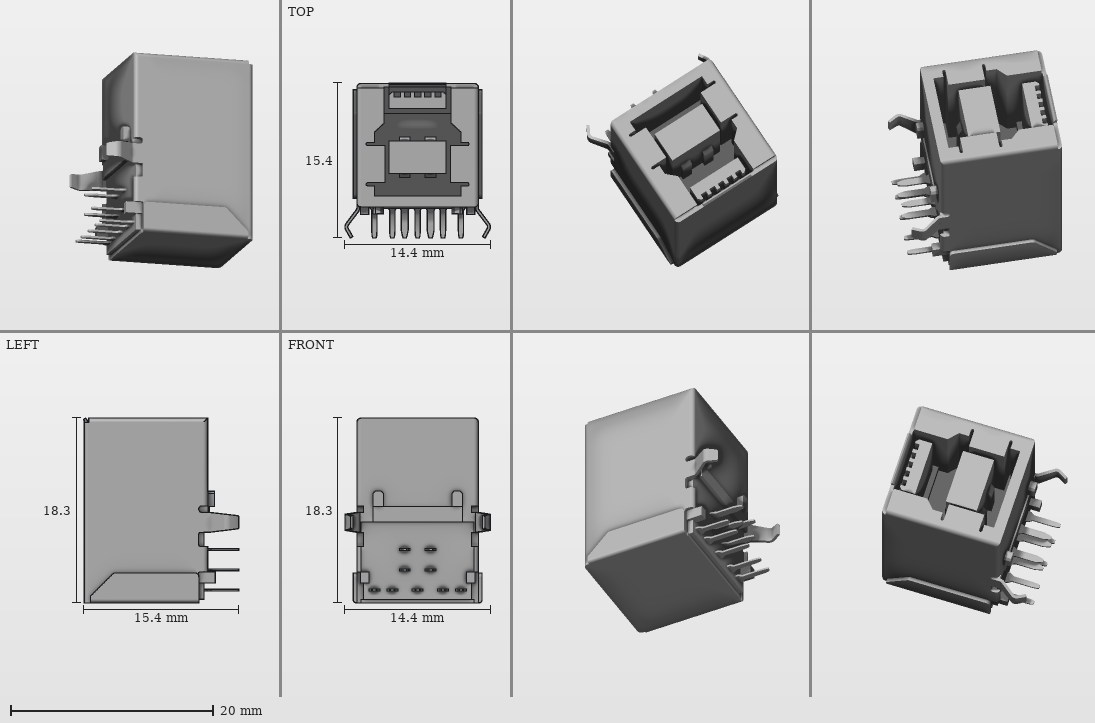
import cadquery as cq


height = 18.3
half_width = 6.02
back = 12.25
bend_radius = 0.44
sheet = 0.37
back_plate_front = back - 0.45
back_plate_top = height - bend_radius
front_panel_bottom = 8.02
base_front = 0.86
side_bottom_front = 0.93
flange_bottom = 3.07

core_half_width = 5.35
core_front = 0.37
recess_half_width = half_width - bend_radius

leg_bottom = 6.99
leg_top = 8.97
opening_back = 0.9
upper_opening_top = 9.6
lower_opening_bottom = 5.6
opening_radius = 0.18
slot_radius = 0.31

leg_thickness = 0.31
leg_reach = 14.4 / 2
leg_tip_y = -3.07
leg_tip_bottom = 7.34
leg_tip_top = 8.64

ledge_depth = 8.24
cavity_depth = 9.15
ledge_front = 9.25
cavity_back = 11.88
key_half_width = 3.31
mouth_half_width = 4.26
waist_half_width = 3.24
slit_half_width = 5.09
slit_height = 0.33

tongue_half_width = 2.82
lower_tongue_front = 3.33
lower_tongue_back = 6.55
lower_tongue_top = 17.7
upper_tongue_front = 9.74
upper_tongue_back = 11.38
upper_tongue_top = 17.28
contact_x = 1.28

pin_thickness = 0.2
pin_tip_width = 0.33
pin_shoulder_width = 1.08
pin_tip_y = leg_tip_y


def block(x, y, z):
    """Box between the (low, high) limits given for each axis."""
    return cq.Workplane("XY").box(
        x[1] - x[0], y[1] - y[0], z[1] - z[0], centered=False
    ).translate((x[0], y[0], z[0]))


def centred_block(half, y, z):
    return block((-half, half), y, z)


def both_sides(solid):
    """A feature of the +X side together with its mirror image."""
    return solid.union(solid.mirror("YZ"))


def side_profile(points, x_low, x_high):
    """Prism along X from a closed outline of (y, z) points."""
    return (
        cq.Workplane("YZ").polyline(points).close()
        .extrude(x_high - x_low).translate((x_low, 0, 0))
    )


def make_shell():
    """Rounded block with a lowered back plate and the core set back below the front panel."""
    shell = centred_block(half_width, (0, back), (0, height))
    shell = shell.edges("|Z").fillet(bend_radius)
    top_bends = centred_block(half_width, (0, back), (0, height)).edges("|Y and >Z").fillet(bend_radius)
    shell = shell.intersect(top_bends)
    shell = shell.cut(centred_block(half_width, (back_plate_front, back), (back_plate_top, height)))
    shell = shell.cut(centred_block(recess_half_width, (0, core_front), (0, front_panel_bottom)))
    side_corner = block((core_half_width, half_width), (0, side_bottom_front), (0, flange_bottom))
    shell = shell.cut(both_sides(side_corner.edges("|X and >Y and >Z").fillet(opening_radius)))
    shell = shell.cut(centred_block(half_width, (0, side_bottom_front), (0, sheet)))
    return shell.union(centred_block(recess_half_width, (base_front, back_plate_front), (0, sheet)))


def make_side_opening(z_low, z_high, corner_radius):
    """Notch through both side walls, open to the front and rounded at its back."""
    notch = block((core_half_width, half_width), (0, opening_back), (z_low, z_high))
    return both_sides(notch.edges("|X and >Y").fillet(corner_radius))


def make_spring_legs():
    """Bent leaf springs that splay outwards and hook back in, tapering to the tip."""
    inner = half_width - leg_thickness
    root_y = -0.07
    taper_start = -0.22
    tip_radius = 0.18
    bent_strip = (
        cq.Workplane("XY")
        .moveTo(half_width, opening_back)
        .lineTo(half_width, root_y)
        .tangentArcPoint((6.08, -0.25), relative=False)
        .lineTo(7.12, -1.65)
        .threePointArc((leg_reach, -1.92), (7.1, -2.3))
        .lineTo(6.66, leg_tip_y)
        .lineTo(6.4, leg_tip_y + 0.16)
        .lineTo(6.85, -2.15)
        .threePointArc((6.9, -1.94), (6.83, -1.74))
        .lineTo(5.87, -0.5)
        .tangentArcPoint((inner, root_y), relative=False)
        .lineTo(inner, opening_back)
        .close()
        .extrude(height)
    )
    taper = side_profile(
        [
            (opening_back, leg_bottom), (opening_back, leg_top), (taper_start, leg_top),
            (leg_tip_y, leg_tip_top), (leg_tip_y, leg_tip_bottom), (taper_start, leg_bottom),
        ],
        inner, leg_reach + leg_thickness,
    ).edges("|X and <Y").fillet(tip_radius)
    return both_sides(bent_strip.intersect(taper))


def make_side_wings():
    """Flat plates folded up from the underside against both side walls."""
    wing_back = 11.62
    wing_top = 2.98
    slope_top_y = 9.3
    slope_bottom = 0.65
    wing_bend = 0.35
    outer = half_width + sheet
    wing = side_profile(
        [
            (base_front, 0), (base_front, wing_top), (slope_top_y, wing_top),
            (wing_back, slope_bottom), (wing_back, 0),
        ],
        half_width, outer,
    ).edges("|X and >Z").fillet(bend_radius)
    return both_sides(wing.edges("|Y and >X and <Z").fillet(wing_bend))


def make_front_features():
    """Raised strip and the two pairs of stand-off posts on the front."""
    strip_half_width = 4.41
    strip_top = 9.53
    strip_front = -0.15
    post_chamfer = 0.22
    upper_post_front = -0.68
    upper_post_top = 11.07
    lower_post_front = -0.75
    lower_post_bottom = 1.95
    strip = centred_block(strip_half_width, (strip_front, core_front), (front_panel_bottom, strip_top))
    upper_post = block((3.39, strip_half_width), (upper_post_front, core_front), (strip_top, upper_post_top))
    upper_post = upper_post.edges("|Y and >Z").chamfer(post_chamfer)
    lower_post = block(
        (4.83, 5.65), (lower_post_front, side_bottom_front), (lower_post_bottom, flange_bottom)
    )
    return strip.union(both_sides(upper_post)).union(both_sides(lower_post))


def make_back_lip():
    """Small flared lip on the back plate, behind the upper tongue."""
    return (
        cq.Workplane("YZ")
        .moveTo(cavity_back, back_plate_top)
        .lineTo(back, back_plate_top)
        .lineTo(back, 18.08)
        .lineTo(12.3, 18.14)
        .lineTo(12.11, height)
        .lineTo(12.02, 18.2)
        .threePointArc((11.91, 18.06), (cavity_back, back_plate_top))
        .close()
        .extrude(tongue_half_width, both=True)
    )


def make_cavity():
    """Keyed opening with four thin side slits and a shallower floor round the upper tongue."""
    mouth_front = 1.08
    slit_fronts = (2.09, 6.08)
    key_front = 8.3
    slit_chamfer = 0.11
    shoulder = 7.43
    half_outline = [
        (0, mouth_front), (mouth_half_width, mouth_front),
        (mouth_half_width, slit_fronts[0]), (waist_half_width, slit_fronts[0]),
        (waist_half_width, slit_fronts[1]), (mouth_half_width, slit_fronts[1]),
        (mouth_half_width, shoulder), (key_half_width, key_front),
        (key_half_width, ledge_front), (0, ledge_front),
    ]
    floor = height - cavity_depth
    cavity = both_sides(
        cq.Workplane("XY").workplane(offset=floor).polyline(half_outline).close().extrude(cavity_depth)
    )
    for slit_front in slit_fronts:
        cavity = cavity.union(
            centred_block(slit_half_width, (slit_front, slit_front + slit_height), (floor, height))
            .edges("|Z").chamfer(slit_chamfer)
        )
    return cavity.union(
        centred_block(key_half_width, (ledge_front, cavity_back), (height - ledge_depth, height))
    )


def make_lower_tongue():
    """Plain block with two ramped contacts on its front and two on its back."""
    floor = height - cavity_depth
    contact_top = 13.72
    ramp_bottom = contact_top - 0.73
    contact_width = 1.06
    contact_reach = 0.38
    tongue = centred_block(
        tongue_half_width, (lower_tongue_front, lower_tongue_back), (floor, lower_tongue_top)
    )
    ramp_section = [
        (lower_tongue_front - contact_reach, floor),
        (lower_tongue_front - contact_reach, ramp_bottom),
        (lower_tongue_front, contact_top), (lower_tongue_back, contact_top),
        (lower_tongue_back + contact_reach, ramp_bottom),
        (lower_tongue_back + contact_reach, floor),
    ]
    contact_pair = side_profile(
        ramp_section, contact_x - contact_width / 2, contact_x + contact_width / 2
    )
    return tongue.union(both_sides(contact_pair))


def make_upper_tongue():
    """Block with five contact grooves along its back, on a base that meets the cavity wall."""
    base_top = 12.81
    groove_bottom = 13.72
    groove_pitch = 1.0
    corner_chamfer = 0.27
    groove_width = 0.62
    groove_depth = 0.48
    groove_y = (upper_tongue_back - groove_depth, upper_tongue_back)
    floor = height - ledge_depth
    tongue = centred_block(
        tongue_half_width, (upper_tongue_front, upper_tongue_back), (floor, upper_tongue_top)
    )
    tongue = tongue.edges("|Z and >Y").chamfer(corner_chamfer)
    tongue = tongue.union(
        centred_block(tongue_half_width, (upper_tongue_front, cavity_back), (floor, base_top))
    )
    for step in range(-2, 3):
        left = step * groove_pitch - groove_width / 2
        tongue = tongue.cut(
            block((left, left + groove_width), groove_y, (groove_bottom, upper_tongue_top))
        )
    return tongue


def make_pin(x, z, width):
    """Flat solder pin with a wide shoulder at its root and a tapered tip."""
    root_y = core_front + 0.18
    half_outline = [
        (0, root_y), (pin_shoulder_width / 2, root_y),
        (pin_shoulder_width / 2, 0.1), (width / 2, -0.31),
        (width / 2, -2.29), (pin_tip_width / 2 + 0.07, -2.84),
        (pin_tip_width / 2, pin_tip_y), (0, pin_tip_y),
    ]
    half = cq.Workplane("XY").polyline(half_outline).close().extrude(pin_thickness)
    return both_sides(half).translate((x, 0, z - pin_thickness / 2))


def make_pins():
    """Two rows of two wide pins above one row of five narrow pins."""
    wide_pin = 0.71
    narrow_pin = 0.55
    wide_rows = (5.27, 3.28)
    narrow_row = 1.28
    places = [(x, z, wide_pin) for z in wide_rows for x in (-contact_x, contact_x)]
    places += [(x, narrow_row, narrow_pin) for x in (-4.28, -2.5, 0, 2.5, 4.28)]
    return [make_pin(*place) for place in places]


result = (
    make_shell()
    .cut(make_side_opening(leg_top, upper_opening_top, slot_radius))
    .cut(make_side_opening(lower_opening_bottom, leg_bottom, opening_radius))
    .cut(make_cavity())
)
features = [
    make_spring_legs(), make_side_wings(), make_front_features(), make_back_lip(),
    make_lower_tongue(), make_upper_tongue(),
]
for feature in features + make_pins():
    result = result.union(feature)